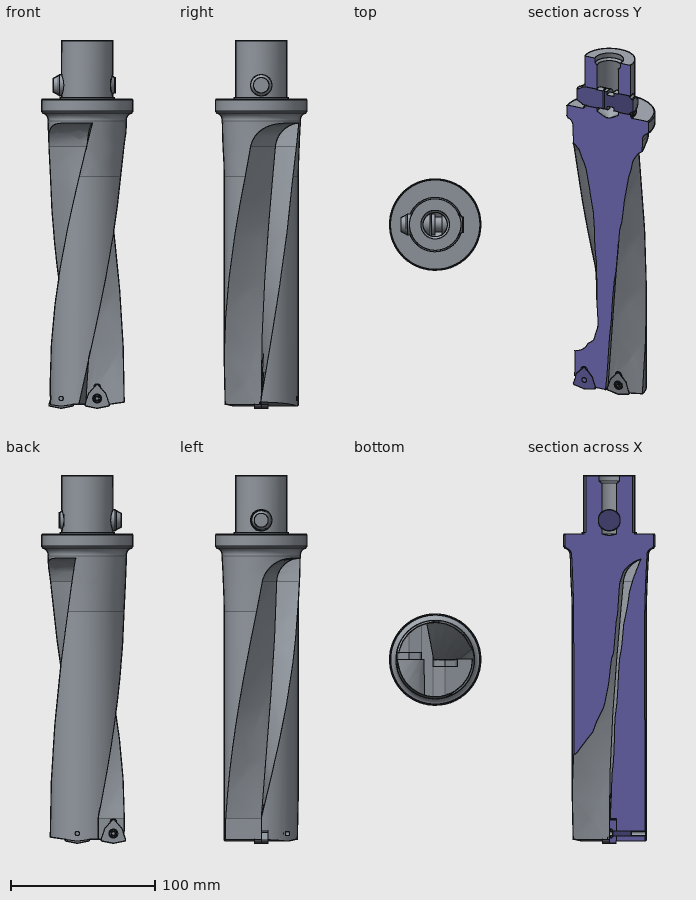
import cadquery as cq
import math

TOTAL_HEIGHT = 255.0
FLANGE_TOP = 214.7
FLANGE_RIM_BOTTOM = 206.3
NECK_TOP = 204.8
NECK_BOTTOM = 199.5
TAPER_BOTTOM = 161.0
STRAIGHT_TOP = 17.3
RUNOUT_START = 181.5

FLANGE_DIAMETER = 63.5
FLANGE_RADIUS = FLANGE_DIAMETER / 2
FLANGE_CHAMFER = 0.8
NECK_TOP_RADIUS = 30.9
NECK_RADIUS = 27.3
DRILL_RADIUS = 25.8
SHANK_RADIUS = 17.8
SEAT_RADIUS = 18.9
SEAT_HEIGHT = 1.0

BORE_RADIUS = 8.5
COUNTERBORE_RADIUS = 10.0
COUNTERBORE_DEPTH = 3.5
BORE_BOTTOM = 214.7
DRILL_POINT_ANGLE = 118.0

PIN_HEIGHT = 224.1
PIN_RADIUS = 7.5
PIN_NECK_RADIUS = 5.0
PIN_END_RADIUS = 5.4
SLEEVE_OUTER_END = -23.7
SLEEVE_CONE_END = -20.1
SLEEVE_CHAMFER = 0.8
SLEEVE_END_RADIUS = 4.8
SLEEVE_INNER_END = -3.5
PIN_INNER_END = -2.5
PIN_NECK_START = -0.3
PIN_NECK_END = 4.5
PIN_CONE_START = 16.3
PIN_CONE_END = 18.9
PIN_OUTER_END = 19.6

INSERT_CORNER_RADIUS = 10.2
INSERT_NOSE_RADIUS = 1.0
INSERT_BLUNT_RADIUS = 7.0
INSERT_HEIGHT = INSERT_BLUNT_RADIUS
INSERT_THICKNESS = 4.8
INNER_INSERT_X = 7.0
OUTER_INSERT_X = -18.0
RELIEF_RADIUS = 2.3
FRONT_CLEARANCE = 1.3
NOTCH_INNER_X = -25.0
NOTCH_TOP = 8.7
SCREW_HEAD_RADIUS = 3.0
SCREW_RADIUS = 1.5
SCREW_SINK = 0.3
SCREW_RIM_CHAMFER = 0.8
SCREW_LENGTH = 15.3
SOCKET_RADIUS = 1.3
SOCKET_DEPTH = 2.0

TIP_LOW = 1.5
TIP_MIDDLE = 2.8
TIP_SLOPE = 0.15
TIP_MIDDLE_START = OUTER_INSERT_X + (TIP_MIDDLE - TIP_LOW) / TIP_SLOPE
TIP_MIDDLE_END = INNER_INSERT_X - (TIP_MIDDLE - TIP_LOW) / TIP_SLOPE

FLUTE_REACH = 40.8
FLUTE_BOTTOM = -2.5
FLUTE_TOP_ROOT = 10.7
RUNOUT_RADIUS = 16.3
HELIX_SECTIONS = 7
RUNOUT_SECTIONS = 7

OUTER_FLUTE = dict(
    start=STRAIGHT_TOP, root=7.6, straight=True,
    lead=180.0, lead_twist=0.5412, trail=107.0, trail_twist=0.4588,
)
INNER_FLUTE = dict(
    start=INSERT_HEIGHT, root=-0.8, straight=False,
    lead=360.0, lead_twist=0.3804, trail=259.0, trail_twist=0.4902,
)


def turned_along_x(points):
    """Solid turned about the cross axis, from (x, radius) points."""
    profile = cq.Workplane("XY").polyline(points).close()
    return profile.revolve(360, (0, 0, 0), (1, 0, 0)).translate((0, 0, PIN_HEIGHT))


def at_angle(radius, degrees):
    """Point in the plane at a radius and an angle."""
    angle = math.radians(degrees)
    return cq.Vector(radius * math.cos(angle), radius * math.sin(angle))



def turned_body():
    chamfer_radius = FLANGE_RADIUS - FLANGE_CHAMFER
    drop = NECK_TOP - NECK_BOTTOM
    inset = NECK_TOP_RADIUS - NECK_RADIUS
    bow = 1 - math.sqrt(0.5)
    return (
        cq.Workplane("XZ")
        .moveTo(0, 0)
        .lineTo(DRILL_RADIUS, 0)
        .lineTo(DRILL_RADIUS, TAPER_BOTTOM)
        .lineTo(NECK_RADIUS, NECK_BOTTOM)
        .threePointArc(
            (NECK_RADIUS + bow * inset, NECK_TOP - bow * drop),
            (NECK_TOP_RADIUS, NECK_TOP),
        )
        .lineTo(FLANGE_RADIUS, FLANGE_RIM_BOTTOM)
        .lineTo(FLANGE_RADIUS, FLANGE_TOP - FLANGE_CHAMFER)
        .lineTo(chamfer_radius, FLANGE_TOP)
        .lineTo(SEAT_RADIUS, FLANGE_TOP)
        .lineTo(SEAT_RADIUS, FLANGE_TOP + SEAT_HEIGHT)
        .lineTo(SHANK_RADIUS, FLANGE_TOP + SEAT_HEIGHT)
        .lineTo(SHANK_RADIUS, TOTAL_HEIGHT)
        .lineTo(0, TOTAL_HEIGHT)
        .close()
        .revolve(360, (0, 0, 0), (0, 1, 0))
    )


def shank_bore():
    """Counterbored blind hole with a conical step and a drilled point."""
    shoulder = TOTAL_HEIGHT - COUNTERBORE_DEPTH
    step = COUNTERBORE_RADIUS - BORE_RADIUS
    point = BORE_RADIUS / math.tan(math.radians(DRILL_POINT_ANGLE / 2))
    outline = [
        (0, BORE_BOTTOM - point),
        (BORE_RADIUS, BORE_BOTTOM),
        (BORE_RADIUS, shoulder - step),
        (COUNTERBORE_RADIUS, shoulder),
        (COUNTERBORE_RADIUS, TOTAL_HEIGHT),
        (0, TOTAL_HEIGHT),
    ]
    return cq.Workplane("XZ").polyline(outline).close().revolve(360, (0, 0, 0), (0, 1, 0))


def pin_hole():
    hole = cq.Workplane("YZ").circle(PIN_RADIUS).extrude(2 * SHANK_RADIUS, both=True)
    return hole.translate((0, 0, PIN_HEIGHT))


def tip_waste():
    """Everything below the sloping faces of the tip."""
    left = OUTER_INSERT_X - FLUTE_REACH
    right = INNER_INSERT_X + FLUTE_REACH
    side_height = TIP_LOW + TIP_SLOPE * FLUTE_REACH
    outline = [
        (left, FLUTE_BOTTOM),
        (left, side_height),
        (OUTER_INSERT_X, TIP_LOW),
        (TIP_MIDDLE_START, TIP_MIDDLE),
        (TIP_MIDDLE_END, TIP_MIDDLE),
        (INNER_INSERT_X, TIP_LOW),
        (right, side_height),
        (right, FLUTE_BOTTOM),
    ]
    return cq.Workplane("XZ").polyline(outline).close().extrude(FLUTE_REACH, both=True)



def flute_section(flute, height, outward=0.0):
    """V section of a flute; `outward` slides its trailing wall out along the leading wall."""
    climb = height - flute["start"]
    if flute["straight"]:
        climb = max(climb, 0)
    lead = flute["lead"] + flute["lead_twist"] * climb
    trail = flute["trail"] + flute["trail_twist"] * climb
    root_growth = (FLUTE_TOP_ROOT - flute["root"]) / (RUNOUT_START - flute["start"])
    root = flute["root"] + root_growth * climb

    corner = at_angle(root, lead)
    trailing_edge = at_angle(DRILL_RADIUS, trail)
    trailing_wall = (trailing_edge - corner).normalized()
    slide = at_angle(outward, lead)
    outline = [
        corner + slide,
        at_angle(FLUTE_REACH + outward, lead),
        at_angle(FLUTE_REACH, (lead + trail) / 2) + slide,
        corner + trailing_wall * FLUTE_REACH + slide,
    ]
    lifted = [point + cq.Vector(0, 0, height) for point in outline]
    return cq.Wire.makePolygon(lifted, close=True)


def flute_cutters(flute):
    """Twisted main length and curved runout of one flute, and its foot if that is straight."""
    bottom = flute["start"] if flute["straight"] else FLUTE_BOTTOM
    rise = (RUNOUT_START - bottom) / (HELIX_SECTIONS - 1)
    twisted = [flute_section(flute, bottom + rise * i) for i in range(HELIX_SECTIONS)]

    runout = []
    for i in range(RUNOUT_SECTIONS):
        turn = math.radians(90 * i / (RUNOUT_SECTIONS - 1))
        height = RUNOUT_START + RUNOUT_RADIUS * math.sin(turn)
        runout.append(flute_section(flute, height, RUNOUT_RADIUS * (1 - math.cos(turn))))

    cutters = [cq.Solid.makeLoft(twisted), cq.Solid.makeLoft(runout)]
    if flute["straight"]:
        foot = [flute_section(flute, height) for height in (FLUTE_BOTTOM, bottom)]
        cutters.append(cq.Solid.makeLoft(foot, True))
    return cutters



def insert_blank():
    """Trigon insert centred on the origin, with its front face at y = 0 and its back at +y."""
    outline = []
    for corner in (90, 210, 330):
        sharp = at_angle(INSERT_CORNER_RADIUS, corner)
        blunt = at_angle(INSERT_BLUNT_RADIUS, corner + 60)
        outline += [sharp.toTuple()[:2], blunt.toTuple()[:2]]
    blank = cq.Workplane("XZ").polyline(outline).close().extrude(-INSERT_THICKNESS)
    for x, z in outline[::2]:
        nose_edge = cq.selectors.NearestToPointSelector((x, INSERT_THICKNESS / 2, z))
        blank = blank.edges(nose_edge).fillet(INSERT_NOSE_RADIUS)
    return blank


def screw_blank():
    """Countersunk screw without its socket, along +y and sunk below the insert's front face."""
    rim_radius = SCREW_HEAD_RADIUS - SCREW_RIM_CHAMFER
    cone_start = SCREW_SINK + SCREW_RIM_CHAMFER
    cone_end = cone_start + SCREW_HEAD_RADIUS - SCREW_RADIUS
    outline = [
        (0, SCREW_SINK),
        (rim_radius, SCREW_SINK),
        (SCREW_HEAD_RADIUS, cone_start),
        (SCREW_RADIUS, cone_end),
        (SCREW_RADIUS, SCREW_LENGTH),
        (0, SCREW_LENGTH),
    ]
    return cq.Workplane("XY").polyline(outline).close().revolve(360, (0, 0, 0), (0, 1, 0))


def screw_mouth():
    """Opening in the front face of an insert, down to the widest part of the screw head."""
    depth = SCREW_SINK + SCREW_RIM_CHAMFER
    return cq.Workplane("XZ").circle(SCREW_HEAD_RADIUS).extrude(-depth)


def screw_socket():
    return cq.Workplane("XZ").circle(SOCKET_RADIUS).extrude(-SOCKET_DEPTH - SCREW_SINK)


def seat_cutter():
    """Pocket for an insert, open to the front, with a relieved upper corner and a screw hole."""
    relief = (
        cq.Workplane("XZ")
        .center(0, INSERT_CORNER_RADIUS - RELIEF_RADIUS)
        .circle(RELIEF_RADIUS)
        .extrude(-INSERT_THICKNESS)
    )
    screw_hole = cq.Workplane("XZ").circle(SCREW_RADIUS).extrude(-FLUTE_REACH)
    front_opening = insert_blank().translate((0, -FRONT_CLEARANCE, 0))
    return insert_blank().union(front_opening).union(relief).union(screw_hole)


def rim_notch():
    """Clearance beside the outer insert where its pocket breaks out of the rim."""
    width = FLUTE_REACH - DRILL_RADIUS
    notch = cq.Workplane("XY").box(width, INSERT_THICKNESS, NOTCH_TOP, centered=False)
    return notch.translate((NOTCH_INNER_X - width, -INSERT_THICKNESS, 0))


def at_inner_seat(shape):
    return shape.translate((INNER_INSERT_X, 0, INSERT_HEIGHT))


def at_outer_seat(shape):
    """The outer insert faces the opposite way to the inner one."""
    turned = shape.rotate((0, 0, 0), (0, 0, 1), 180)
    return turned.translate((OUTER_INSERT_X, 0, INSERT_HEIGHT))


SEATS = (at_inner_seat, at_outer_seat)



def make_drill_body():
    body = turned_body().cut(shank_bore()).cut(pin_hole()).cut(tip_waste())
    for flute in (OUTER_FLUTE, INNER_FLUTE):
        for cutter in flute_cutters(flute):
            body = body.cut(cq.Workplane(cutter))
    for place in SEATS:
        body = body.cut(place(seat_cutter()))
    return body.cut(rim_notch())


def make_thrust_sleeve():
    rim_radius = PIN_RADIUS - SLEEVE_CHAMFER
    return turned_along_x([
        (SLEEVE_OUTER_END, 0),
        (SLEEVE_OUTER_END, SLEEVE_END_RADIUS),
        (SLEEVE_CONE_END, rim_radius),
        (SLEEVE_CONE_END + SLEEVE_CHAMFER, PIN_RADIUS),
        (SLEEVE_INNER_END, PIN_RADIUS),
        (SLEEVE_INNER_END, 0),
    ])


def make_clamping_pin():
    return turned_along_x([
        (PIN_INNER_END, 0),
        (PIN_INNER_END, PIN_RADIUS),
        (PIN_NECK_START, PIN_RADIUS),
        (PIN_NECK_START, PIN_NECK_RADIUS),
        (PIN_NECK_END, PIN_NECK_RADIUS),
        (PIN_NECK_END, PIN_RADIUS),
        (PIN_CONE_START, PIN_RADIUS),
        (PIN_CONE_END, PIN_END_RADIUS),
        (PIN_OUTER_END, PIN_END_RADIUS),
        (PIN_OUTER_END, 0),
    ])


def make_insert(place):
    return place(insert_blank().cut(screw_mouth()).cut(screw_blank()))


def make_screw(place):
    return place(screw_blank().cut(screw_socket()))


drill_body = make_drill_body()
thrust_sleeve = make_thrust_sleeve()
clamping_pin = make_clamping_pin()
inserts = [make_insert(place) for place in SEATS]
screws = [make_screw(place) for place in SEATS]

result = cq.Compound.makeCompound([
    drill_body.val(),
    thrust_sleeve.val(),
    clamping_pin.val(),
    *[insert.val() for insert in inserts],
    *[screw.val() for screw in screws],
])